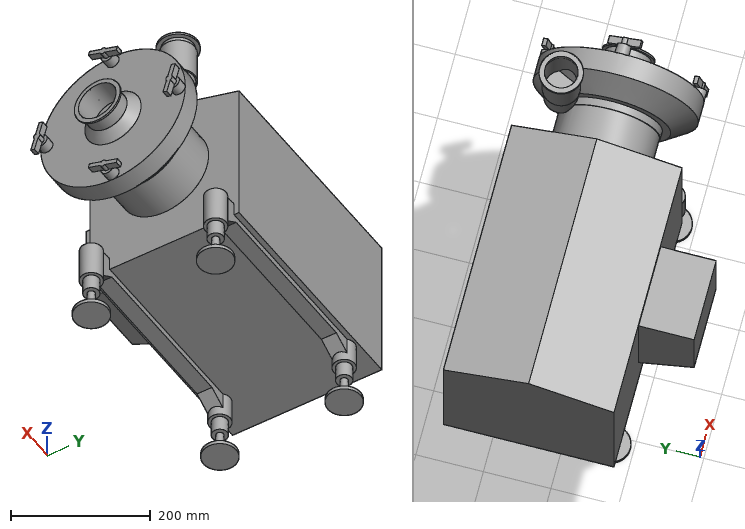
import cadquery as cq


HOUSING_LENGTH = 383.0
HOUSING_WIDTH = 253.0
HOUSING_BOTTOM = 109.0
EAVES_HEIGHT = 352.0
RIDGE_HEIGHT = 385.5

CONTROL_START = 138.5
CONTROL_LENGTH = 124.0
CONTROL_DEPTH = 82.0
CONTROL_TOP = 343.5
CONTROL_OUTER_BOTTOM = 219.5
CONTROL_WALL_BOTTOM = 180.0

SHAFT_HEIGHT = 250.0
NECK_DIA = 150.0
COLLAR_DIA = 152.0
COLLAR_START = 451.0
CONE_START = 463.0
CONE_DIA = 177.0
DRUM_START = 488.5
DRUM_END = 521.0
DRUM_DIA = 245.0

INLET_CONE_DIA = 95.0
INLET_CONE_END = 536.5
INLET_DIA = 67.5
INLET_FLANGE_DIA = 77.5
INLET_FLANGE_THICKNESS = 3.0
INLET_END = 563.0
INLET_BORE_DIA = 63.5

OUTLET_X = CONE_START
OUTLET_Y = 74.0
OUTLET_TOP = 400.0
OUTLET_FLANGE_DIA = 63.5
OUTLET_FLANGE_THICKNESS = 4.0
OUTLET_NECK_DIA = 50.5
OUTLET_NECK_LENGTH = 8.0
OUTLET_BODY_DIA = 55.0
OUTLET_BODY_BOTTOM = 331.0
OUTLET_BORE_DIA = 48.0
OUTLET_BORE_FLOOR = 335.0
OUTLET_STUB_BOTTOM = 293.0

NUT_COUNT = 4
NUT_STUD_DIA = 21.0
NUT_HUB_DIA = 10.5
NUT_HEAD_START = 536.5
NUT_HEAD_LENGTH = 11.0
NUT_WING_SPAN = 49.5
NUT_WING_THICKNESS = 7.0
NUT_WING_TILT = 16.6
NUT_CIRCLE_RADIUS = (DRUM_DIA - NUT_STUD_DIA) / 2

FOOT_STEPS = [(55.0, 6.0), (12.0, 43.5), (25.0, 68.5), (35.0, 128.0)]
REAR_FOOT_X = 67.5
FRONT_FOOT_X = 412.0
FOOT_Y = 105.0

RAIL_WIDTH = 25.5
RAIL_BOTTOM = 98.5
RAIL_TOP = 130.5
RAIL_FRONT_TOP = 128.5
GUSSET_BOTTOM = 75.0
REAR_GUSSET_END = 108.5
FRONT_GUSSET_START = 377.0


def upright_cylinder(x, y, diameter, bottom, top):
    return cq.Workplane("XY", origin=(x, y, bottom)).circle(diameter / 2).extrude(top - bottom)


def shaft_cylinder(diameter, start, end):
    return cq.Workplane("YZ", origin=(start, 0, SHAFT_HEIGHT)).circle(diameter / 2).extrude(end - start)


def housing():
    half_width = HOUSING_WIDTH / 2
    gable = [
        (-half_width, HOUSING_BOTTOM),
        (half_width, HOUSING_BOTTOM),
        (half_width, EAVES_HEIGHT),
        (0, RIDGE_HEIGHT),
        (-half_width, EAVES_HEIGHT),
    ]
    return cq.Workplane("YZ").polyline(gable).close().extrude(HOUSING_LENGTH)


def control_box():
    wall = -HOUSING_WIDTH / 2
    outer = wall - CONTROL_DEPTH
    side = [
        (wall, CONTROL_TOP),
        (outer, CONTROL_TOP),
        (outer, CONTROL_OUTER_BOTTOM),
        (wall, CONTROL_WALL_BOTTOM),
    ]
    return cq.Workplane("YZ", origin=(CONTROL_START, 0, 0)).polyline(side).close().extrude(CONTROL_LENGTH)


def casing():
    flange_start = INLET_END - INLET_FLANGE_THICKNESS
    half_section = [
        (HOUSING_LENGTH, 0),
        (HOUSING_LENGTH, NECK_DIA / 2),
        (COLLAR_START, NECK_DIA / 2),
        (COLLAR_START, COLLAR_DIA / 2),
        (CONE_START, COLLAR_DIA / 2),
        (CONE_START, CONE_DIA / 2),
        (DRUM_START, DRUM_DIA / 2),
        (DRUM_END, DRUM_DIA / 2),
        (DRUM_END, INLET_CONE_DIA / 2),
        (INLET_CONE_END, INLET_DIA / 2),
        (flange_start, INLET_DIA / 2),
        (flange_start, INLET_FLANGE_DIA / 2),
        (INLET_END, INLET_FLANGE_DIA / 2),
        (INLET_END, 0),
    ]
    section = cq.Workplane("XZ", origin=(0, 0, SHAFT_HEIGHT)).polyline(half_section).close()
    return section.revolve(360, (0, 0, 0), (1, 0, 0))


def outlet():
    flange_bottom = OUTLET_TOP - OUTLET_FLANGE_THICKNESS
    body_top = flange_bottom - OUTLET_NECK_LENGTH
    flange = upright_cylinder(OUTLET_X, OUTLET_Y, OUTLET_FLANGE_DIA, flange_bottom, OUTLET_TOP)
    neck = upright_cylinder(OUTLET_X, OUTLET_Y, OUTLET_NECK_DIA, body_top, flange_bottom)
    body = upright_cylinder(OUTLET_X, OUTLET_Y, OUTLET_BODY_DIA, OUTLET_BODY_BOTTOM, body_top)
    stub = upright_cylinder(OUTLET_X, OUTLET_Y, OUTLET_NECK_DIA, OUTLET_STUB_BOTTOM, OUTLET_BODY_BOTTOM)
    bore = upright_cylinder(OUTLET_X, OUTLET_Y, OUTLET_BORE_DIA, OUTLET_BORE_FLOOR, OUTLET_TOP)
    return flange.union(neck).union(body).union(stub).cut(bore)


def wing_nut(angle):
    """Stud, slim hub and tilted wing bar, built above the shaft and turned to its place on the rim."""
    stud = shaft_cylinder(NUT_STUD_DIA, DRUM_END, NUT_HEAD_START)
    hub = shaft_cylinder(NUT_HUB_DIA, NUT_HEAD_START, NUT_HEAD_START + NUT_HEAD_LENGTH)
    wings = (
        cq.Workplane("YZ", origin=(NUT_HEAD_START, 0, SHAFT_HEIGHT))
        .transformed(rotate=(0, 0, -NUT_WING_TILT))
        .rect(NUT_WING_SPAN, NUT_WING_THICKNESS)
        .extrude(NUT_HEAD_LENGTH)
    )
    nut = stud.union(hub).union(wings).translate((0, 0, NUT_CIRCLE_RADIUS))
    return nut.rotate((0, 0, SHAFT_HEIGHT), (1, 0, SHAFT_HEIGHT), angle)


def foot(x, y):
    steps = cq.Workplane("XY")
    bottom = 0
    for diameter, top in FOOT_STEPS:
        steps = steps.union(upright_cylinder(x, y, diameter, bottom, top))
        bottom = top
    return steps


def side_rail(y):
    outline = [
        (REAR_FOOT_X, GUSSET_BOTTOM),
        (REAR_GUSSET_END, RAIL_BOTTOM),
        (FRONT_GUSSET_START, RAIL_BOTTOM),
        (FRONT_FOOT_X, GUSSET_BOTTOM),
        (FRONT_FOOT_X, RAIL_FRONT_TOP),
        (HOUSING_LENGTH, RAIL_TOP),
        (REAR_FOOT_X, RAIL_TOP),
    ]
    front_plane = cq.Workplane("XZ", origin=(0, y, 0))
    return front_plane.polyline(outline).close().extrude(RAIL_WIDTH / 2, both=True)


result = housing().union(control_box()).union(casing())

result = result.union(outlet())

inlet_bore = shaft_cylinder(INLET_BORE_DIA, DRUM_END, INLET_END)
result = result.cut(inlet_bore)

for nut_index in range(NUT_COUNT):
    result = result.union(wing_nut(nut_index * 360 / NUT_COUNT))

for row_y in (-FOOT_Y, FOOT_Y):
    result = result.union(side_rail(row_y))
    for foot_x in (REAR_FOOT_X, FRONT_FOOT_X):
        result = result.union(foot(foot_x, row_y))